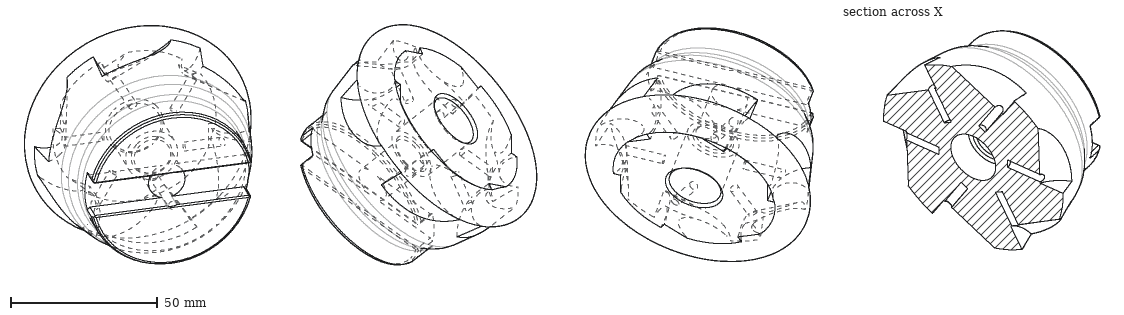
import cadquery as cq
import math

outer_radius = 40.0
total_length = 50.1

rim_tube_radius = 6.4
rim_ring_radius = outer_radius - rim_tube_radius

face_x = 2.0
face_radius = 58.0 / 2
cone_start_x = 11.0
cone_start_radius = 38.0
cone_end_x = 30.3
cone_end_radius = 33.8
neck_start_x = 34.0
neck_start_radius = 32.3
neck_end_x = 37.2
neck_end_radius = 30.0
shank_start_x = 40.1
shank_radius = 29.1
rear_edge_start_x = 48.6
rear_edge_middle_x = 49.6
rear_edge_middle_radius = 28.6
rear_edge_end_radius = 27.8

screw_bore_diameter = 18.5
screw_bore_chamfer = 1.0
screw_seat_x = 24.0
through_bore_diameter = 13.0
through_bore_chamfer = 0.8

pocket_count = 6
pocket_floor = 26.2
pocket_arc_radius = 16.0
pocket_arc_x = 6.7
pocket_wall_z = 3.1
pocket_wall_tilt = 5.0
pocket_depth_out = 2 * outer_radius

coolant_diameter = 3.0
coolant_x = 13.8
coolant_z = 4.0
coolant_bottom_radius = 14.4

slot_bottom_x = 43.2
slot_width = 12.5
slot_mouth_width = 14.4
slot_mouth_chamfer = (slot_mouth_width - slot_width) / 2
slot_rear_chamfer = 0.6
slot_mouth_y = math.sqrt(shank_radius**2 - (slot_mouth_width / 2) ** 2)


def revolve_about_x(profile):
    return profile.revolve(360, (0, 0, 0), (1, 0, 0))


def turned_body():
    cone_direction = (cone_end_x - cone_start_x, cone_end_radius - cone_start_radius)
    neck_direction = (neck_end_x - neck_start_x, neck_end_radius - neck_start_radius)
    profile = (
        cq.Workplane("XY")
        .moveTo(face_x, 0)
        .lineTo(face_x, face_radius)
        .lineTo(cone_start_x, cone_start_radius)
        .lineTo(cone_end_x, cone_end_radius)
        .spline(
            [(neck_start_x, neck_start_radius)],
            tangents=[cone_direction, neck_direction],
            includeCurrent=True,
        )
        .lineTo(neck_end_x, neck_end_radius)
        .spline(
            [(shank_start_x, shank_radius)],
            tangents=[neck_direction, (1, 0)],
            includeCurrent=True,
        )
        .lineTo(rear_edge_start_x, shank_radius)
        .lineTo(rear_edge_middle_x, rear_edge_middle_radius)
        .lineTo(total_length, rear_edge_end_radius)
        .lineTo(total_length, 0)
        .close()
    )
    return revolve_about_x(profile)


def rim():
    profile = cq.Workplane("XY").center(rim_tube_radius, rim_ring_radius).circle(rim_tube_radius)
    return profile.revolve(360, (0, -rim_ring_radius, 0), (1, -rim_ring_radius, 0))


def bore():
    screw_radius = screw_bore_diameter / 2
    through_radius = through_bore_diameter / 2
    profile = (
        cq.Workplane("XY")
        .moveTo(face_x, 0)
        .lineTo(face_x, screw_radius + screw_bore_chamfer)
        .lineTo(face_x + screw_bore_chamfer, screw_radius)
        .lineTo(screw_seat_x, screw_radius)
        .lineTo(screw_seat_x, through_radius + through_bore_chamfer)
        .lineTo(screw_seat_x + through_bore_chamfer, through_radius)
        .lineTo(total_length, through_radius)
        .lineTo(total_length, 0)
        .close()
    )
    return revolve_about_x(profile)


def pocket():
    """Pocket on the -Y side: flat floor, round rear end and a tilted side wall."""
    arc_middle = pocket_arc_radius * math.sqrt(0.5)
    arc_centre_y = -pocket_floor - pocket_arc_radius
    pocket_end_x = pocket_arc_x + pocket_arc_radius
    untilted = (
        cq.Workplane("XY")
        .moveTo(-rim_tube_radius, -pocket_floor)
        .lineTo(pocket_arc_x, -pocket_floor)
        .threePointArc(
            (pocket_arc_x + arc_middle, arc_centre_y + arc_middle),
            (pocket_end_x, arc_centre_y),
        )
        .lineTo(pocket_end_x, -pocket_depth_out)
        .lineTo(-rim_tube_radius, -pocket_depth_out)
        .close()
        .extrude(outer_radius)
    )
    tilted = untilted.rotate((0, 0, 0), (0, 1, 0), pocket_wall_tilt)
    return tilted.translate((0, 0, pocket_wall_z))


def coolant_hole():
    return (
        cq.Workplane("XZ", origin=(0, -coolant_bottom_radius, 0))
        .center(coolant_x, coolant_z)
        .circle(coolant_diameter / 2)
        .extrude(outer_radius - coolant_bottom_radius)
    )


def driving_slot():
    """Slot along Y whose side walls are chamfered at both outer mouths."""
    inner_y = slot_mouth_y - slot_mouth_chamfer
    half_width = slot_width / 2
    half_mouth = slot_mouth_width / 2
    quarter = [(inner_y, half_width), (slot_mouth_y, half_mouth), (outer_radius, half_mouth)]
    upper = [(-y, z) for y, z in reversed(quarter)] + quarter
    lower = [(y, -z) for y, z in reversed(upper)]
    return (
        cq.Workplane("YZ", origin=(slot_bottom_x, 0, 0))
        .polyline(upper + lower)
        .close()
        .extrude(total_length - slot_bottom_x)
    )


def slot_rear_bevel():
    """Wedge that chamfers the slot edges on the rear face."""
    half_width = slot_width / 2
    bevel_start_x = total_length - slot_rear_chamfer
    return (
        cq.Workplane("XZ")
        .moveTo(bevel_start_x, -half_width)
        .lineTo(total_length, -half_width - slot_rear_chamfer)
        .lineTo(total_length, half_width + slot_rear_chamfer)
        .lineTo(bevel_start_x, half_width)
        .close()
        .extrude(outer_radius, both=True)
    )


body = turned_body()
for index in range(pocket_count):
    angle = index * 360 / pocket_count
    for cutter in (pocket(), coolant_hole()):
        body = body.cut(cutter.rotate((0, 0, 0), (1, 0, 0), angle))

result = body.union(rim()).cut(bore()).cut(driving_slot()).cut(slot_rear_bevel())